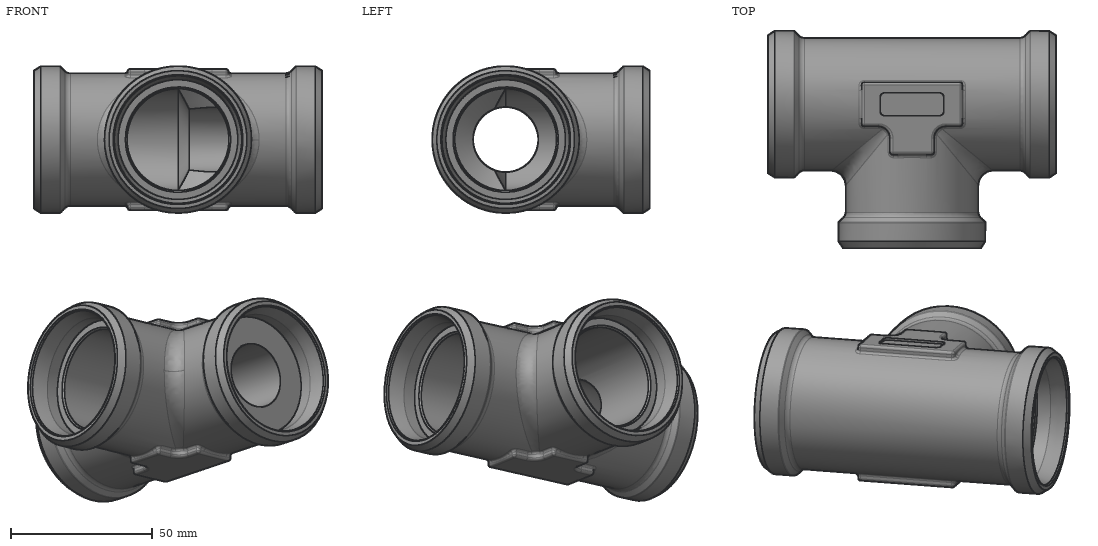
import cadquery as cq
import math

arm_length = 51.0
body_radius = 47.0 / 2
crotch_fillet = 5.1

left_angle = 0
branch_angle = 90
right_angle = 180
port_angles = (left_angle, branch_angle, right_angle)
bored_angles = (left_angle, branch_angle)

collar_radius = 52.0 / 2
face_radius = 24.4
lead_chamfer_length = 2.5
collar_length = 9.3
shoulder_angle = math.radians(45)
collar_edge_fillet = 0.4
collar_root_fillet = 2.5

mouth_radius = 23.0
mouth_chamfer_depth = 0.6
taper_start_radius = 22.5
taper_end_depth = 6.2
socket_radius = 42.3 / 2
socket_depth = 11.0

bore_radius = 36.0 / 2
bore_chamfer = 0.6
drill_tip_angle = 118.0
restrictor_radius = 23.0 / 2

pad_height = 25.0
pad_reach = 17.8
pad_half_width = 7.9
pad_inner_corner = 4.1
pad_edge_fillet = 1.0
pad_base_fillet = 1.0

label_length = 22.4
label_width = 8.2
label_corner = 1.6
label_depth = 0.8


def revolve_about_x(points):
    """Solid of revolution about X; each point is (x, radius)."""
    return cq.Workplane("XY").polyline(points).close().revolve(360, (0, 0, 0), (1, 0, 0))


def turn_about_z(shape, angle):
    return shape.rotate((0, 0, 0), (0, 0, 1), angle)


def fillet_upright_edges(shape, corners, radius):
    """Fillet the vertical edges that stand on the given (x, y) corners."""
    for x, y in corners:
        edge = cq.selectors.NearestToPointSelector((x, y, pad_height / 2))
        shape = shape.edges("|Z").edges(edge).fillet(radius)
    return shape


def make_collar():
    """Collar of the -X port, with a sloping shoulder blended into the body."""
    face = -arm_length
    shoulder_end = face + collar_length + (collar_radius - body_radius) / math.tan(shoulder_angle)
    blend_end = shoulder_end + collar_root_fillet * math.tan(shoulder_angle / 2)

    def blend_point(angle):
        """Point of the root fillet arc, at an angle back from its tangent point on the body."""
        x = blend_end - collar_root_fillet * math.sin(angle)
        radius = body_radius + collar_root_fillet * (1 - math.cos(angle))
        return (x, radius)

    shoulder_edge = cq.selectors.NearestToPointSelector((face + collar_length, 0, 0))
    return (
        cq.Workplane("XY")
        .moveTo(face, 0)
        .lineTo(face, face_radius)
        .lineTo(face + lead_chamfer_length, collar_radius)
        .lineTo(face + collar_length, collar_radius)
        .lineTo(*blend_point(shoulder_angle))
        .threePointArc(blend_point(shoulder_angle / 2), (blend_end, body_radius))
        .lineTo(blend_end, 0)
        .close()
        .revolve(360, (0, 0, 0), (1, 0, 0))
        .edges(shoulder_edge)
        .fillet(collar_edge_fillet)
    )


def make_socket():
    """Tapered socket of the -X port."""
    face = -arm_length
    return revolve_about_x([
        (face, 0),
        (face, mouth_radius),
        (face + mouth_chamfer_depth, taper_start_radius),
        (face + taper_end_depth, socket_radius),
        (face + socket_depth, socket_radius),
        (face + socket_depth, 0),
    ])


def make_drilled_bore():
    """Bore from the -X socket to the centre, with an edge chamfer and a conical drill tip."""
    start = -arm_length + socket_depth
    tip_length = bore_radius / math.tan(math.radians(drill_tip_angle / 2))
    return revolve_about_x([
        (start, 0),
        (start, bore_radius + bore_chamfer),
        (start + bore_chamfer, bore_radius),
        (0, bore_radius),
        (tip_length, 0),
    ])


def make_restrictor():
    """Narrow passage from the centre into the socket of the +X port."""
    length = arm_length - socket_depth
    return cq.Workplane("YZ").circle(restrictor_radius).extrude(length)


def make_body():
    """Crossing run and branch cylinders with their collars and a filleted crotch."""
    body_length = arm_length - collar_length
    run = cq.Workplane("YZ").circle(body_radius).extrude(body_length, both=True)
    branch = cq.Workplane("XZ").circle(body_radius).extrude(body_length)
    body = run.union(branch)
    for angle in port_angles:
        body = body.union(turn_about_z(make_collar(), angle))
    return body.edges("%ELLIPSE").fillet(crotch_fillet)


def make_pad():
    """Upper pad, reaching down into the body."""
    outline = [
        (-pad_reach, pad_half_width),
        (-pad_reach, -pad_half_width),
        (-pad_half_width, -pad_half_width),
        (-pad_half_width, -pad_reach),
        (pad_half_width, -pad_reach),
        (pad_half_width, -pad_half_width),
        (pad_reach, -pad_half_width),
        (pad_reach, pad_half_width),
    ]
    pad = cq.Workplane("XY").polyline(outline).close().extrude(pad_height)
    inner_corners = [(-pad_half_width, -pad_half_width), (pad_half_width, -pad_half_width)]
    outer_corners = [corner for corner in outline if corner not in inner_corners]
    pad = fillet_upright_edges(pad, inner_corners, pad_inner_corner)
    pad = fillet_upright_edges(pad, outer_corners, pad_edge_fillet)
    return pad.faces(">Z").edges().fillet(pad_edge_fillet)


def add_pads(body):
    """Join a pad to the top and bottom of the body and blend both into it."""
    pad = make_pad()
    body = body.union(pad).union(pad.mirror("XY"))
    foot_height = math.sqrt(body_radius**2 - pad_half_width**2)
    for height in (foot_height, -foot_height):
        foot_edge = cq.selectors.NearestToPointSelector((0, pad_half_width, height))
        body = body.edges(foot_edge).fillet(pad_base_fillet)
    return body


def make_label_recess():
    """Rounded rectangle sunk into the upper pad."""
    return (
        cq.Workplane("XY")
        .workplane(offset=pad_height - label_depth)
        .rect(label_length, label_width)
        .extrude(label_depth)
        .edges("|Z")
        .fillet(label_corner)
    )


def make_passages():
    """All the hollow space inside the tee."""
    passages = make_restrictor()
    for angle in port_angles:
        passages = passages.union(turn_about_z(make_socket(), angle))
    for angle in bored_angles:
        passages = passages.union(turn_about_z(make_drilled_bore(), angle))
    return passages


result = add_pads(make_body()).cut(make_passages()).cut(make_label_recess())